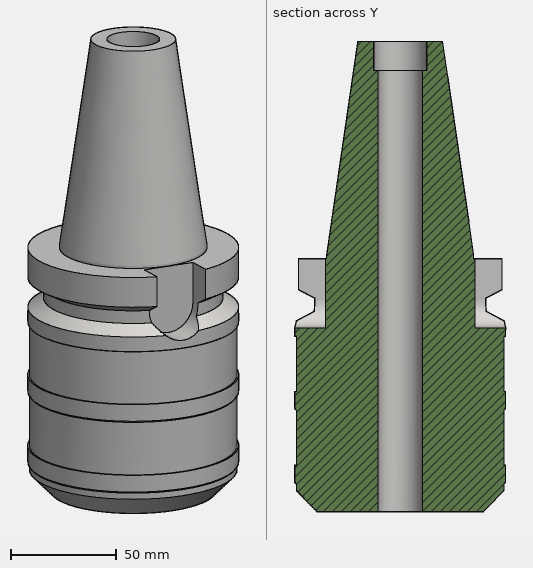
import cadquery as cq

total_height = 222.8
nose_top = 10.0
lower_ring_bottom = 13.8
lower_ring_top = 22.0
middle_ring_bottom = 48.8
middle_ring_top = 57.0
upper_ring_bottom = 83.0
upper_ring_top = 90.5
groove_bottom = 95.0
groove_top = 101.2
flange_bottom = 105.2
flange_top = 119.9
taper_bottom = 121.0

nose_radius = 39.5
ring_radius = 50.02
body_radius = 49.2
groove_radius = 42.5
taper_base_radius = 35.0
taper_ratio = 7 / 24
taper_tip_radius = taper_base_radius - taper_ratio * (total_height - taper_bottom) / 2
ring_bevel = ring_radius - body_radius

bore_radius = 10.5
mouth_radius = 12.5
mouth_depth = 13.8

slot_width = 26.0
slot_bottom = 87.1
slot_floor_distance = 35.5


def turned_body():
    """Solid of revolution with the nose, ring bands, flange, groove and taper."""
    profile = [
        (0, 0),
        (nose_radius, 0),
        (body_radius, nose_top),
        (body_radius, lower_ring_bottom - ring_bevel),
        (ring_radius, lower_ring_bottom),
        (ring_radius, lower_ring_top),
        (body_radius, lower_ring_top),
        (body_radius, middle_ring_bottom - ring_bevel),
        (ring_radius, middle_ring_bottom),
        (ring_radius, middle_ring_top),
        (body_radius, middle_ring_top),
        (body_radius, upper_ring_bottom),
        (ring_radius, upper_ring_bottom),
        (ring_radius, upper_ring_top),
        (groove_radius, groove_bottom),
        (groove_radius, groove_top),
        (ring_radius, flange_bottom),
        (ring_radius, flange_top),
        (taper_base_radius, flange_top),
        (taper_base_radius, taper_bottom),
        (taper_tip_radius, total_height),
        (0, total_height),
    ]
    return cq.Workplane("XZ").polyline(profile).close().revolve(360, (0, 0), (0, 1))


def stepped_bore():
    """Through bore with a wider mouth at the taper tip."""
    bore = cq.Workplane("XY").circle(bore_radius).extrude(total_height)
    mouth_floor = total_height - mouth_depth
    mouth = cq.Workplane("XY").workplane(offset=mouth_floor).circle(mouth_radius).extrude(mouth_depth)
    return bore.union(mouth)


def drive_slot():
    """Round-bottomed slot on the +X side, open at the flange top."""
    half_width = slot_width / 2
    arc_center = slot_bottom + half_width
    return (
        cq.Workplane("YZ")
        .workplane(offset=slot_floor_distance)
        .moveTo(-half_width, flange_top)
        .lineTo(-half_width, arc_center)
        .threePointArc((0, slot_bottom), (half_width, arc_center))
        .lineTo(half_width, flange_top)
        .close()
        .extrude(ring_radius - slot_floor_distance)
    )


result = turned_body().cut(stepped_bore())
for side_angle in (0, 180):
    result = result.cut(drive_slot().rotate((0, 0, 0), (0, 0, 1), side_angle))